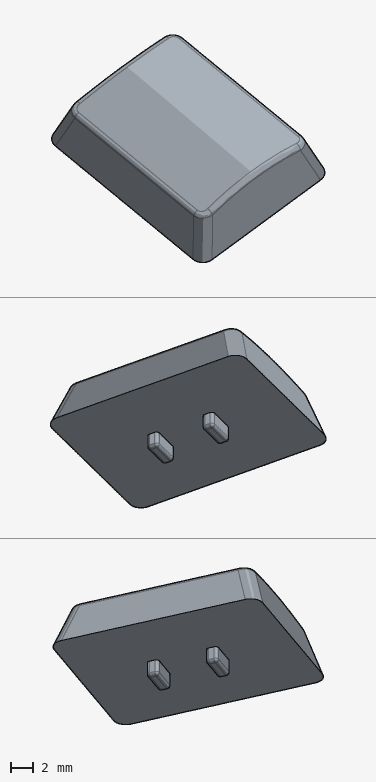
import cadquery as cq

cap_length = 20
cap_width = 15.5
cap_height = 5
wall_draft = 17
crown_radius = 30
corner_radius = 1.25
top_edge_radius = 0.6

peg_thickness = 1.12
peg_width = 2.88
peg_depth = 1.48
peg_spacing = 5.68
peg_edge_radius = 0.3


def make_cap():
    """Build the drafted block, round its corners, crown the top and round its rim."""
    block = (
        cq.Workplane("XY")
        .rect(cap_length, cap_width)
        .extrude(cap_height, taper=wall_draft)
        .edges("not(#Z)")
        .fillet(corner_radius)
    )
    crown = (
        cq.Workplane("YZ")
        .center(0, cap_height - crown_radius)
        .circle(crown_radius)
        .extrude(cap_length / 2, both=True)
    )
    return block.intersect(crown).faces(">Z").edges().fillet(top_edge_radius)


def make_peg(x):
    """Build one peg hanging below the cap, with rounded sides and tip."""
    return (
        cq.Workplane("XY")
        .center(x, 0)
        .rect(peg_thickness, peg_width)
        .extrude(-peg_depth)
        .edges("|Z or <Z")
        .fillet(peg_edge_radius)
    )


result = make_cap()
for side in (-1, 1):
    result = result.union(make_peg(side * peg_spacing / 2))